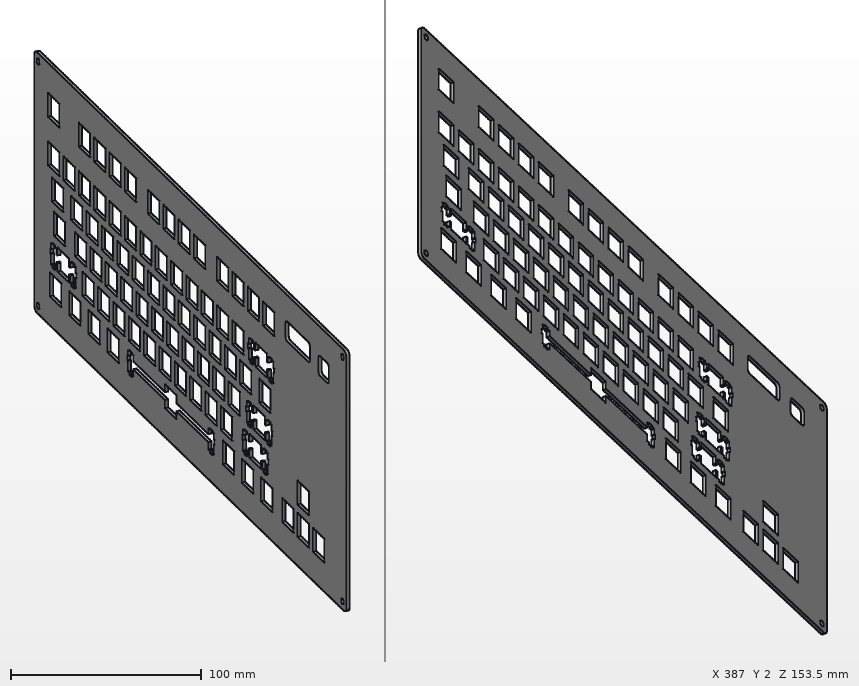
import cadquery as cq


plate_width = 387.0
plate_height = 153.5
plate_thickness = 2.0
corner_radius = 3.0
screw_diameter = 3.4
screw_spacing_x = 377.5
screw_spacing_z = 144.0

main_block_keys = 15
main_block_width = 285.5
key_pitch = main_block_width / main_block_keys
key_gap = 5.0
switch_side = key_pitch - key_gap
first_column_x = -169.5
bottom_row_z = -52.5

wide_key_spacing = 24.0
space_bar_spacing = 100.0
stabilizer_width = 6.5
stabilizer_top = 6.0
stabilizer_bottom = -6.5
tongue_width = 3.3
tongue_top = 6.5
tongue_bottom = -7.7
ear_depth = 0.8
ear_top = 2.3
ear_bottom = -0.5
wire_slot_height = 4.5

window_radius = 2.0
window_height = 11.5
display_width = 30.2
display_x = 133.0
display_z = 55.5
knob_width = 12.8
knob_x = 165.3
knob_z = 54.0


def run(first, count, step=1.0):
    """Column positions of evenly spaced keys."""
    return [first + step * i for i in range(count)]


backspace_column = 13.5
enter_column = 13.375
left_shift_column = 0.625
right_shift_column = 13.125
space_bar_column = 7.625
arrow_column = 15.25

key_rows = {
    5.5: [0] + run(2, 4) + run(6.5, 4) + run(11, 4),
    4: run(0, 13) + [backspace_column],
    3: [0.25] + run(1.5, 12) + [13.75],
    2: [0.375] + run(1.75, 11) + [enter_column],
    1: [left_shift_column] + run(2.25, 10) + [right_shift_column, arrow_column + 1],
    0: run(0.125, 4, 1.25) + [space_bar_column] + run(11.375, 3, 1.25) + run(arrow_column, 3),
}

stabilized_keys = [
    (backspace_column, 4, wide_key_spacing),
    (enter_column, 2, wide_key_spacing),
    (left_shift_column, 1, wide_key_spacing),
    (right_shift_column, 1, wide_key_spacing),
    (space_bar_column, 0, space_bar_spacing),
]


def key_centre(column, row):
    return first_column_x + column * key_pitch, bottom_row_z + row * key_pitch


def block(width, height, x=0.0, z=0.0):
    """Box through the plate thickness, centred on (x, z)."""
    return cq.Workplane("XY").box(width, plate_thickness, height).translate((x, 0, z))


def block_between(x_min, x_max, z_min, z_max):
    return block(x_max - x_min, z_max - z_min, (x_min + x_max) / 2, (z_min + z_max) / 2)


def rounded_block(width, height, radius, x=0.0, z=0.0):
    return block(width, height, x, z).edges("|Y").fillet(radius)


def stabilizer_cutter(column, row, spacing):
    """Two stabilizer openings joined through the switch opening by a wire slot."""
    half_width = stabilizer_width / 2
    cutter = block(spacing, wire_slot_height)
    for side in (-1, 1):
        centre = side * spacing / 2
        outer = centre + side * half_width
        ear_end = outer + side * ear_depth
        body = block_between(centre - half_width, centre + half_width, stabilizer_bottom, stabilizer_top)
        tongue = block_between(
            centre - tongue_width / 2, centre + tongue_width / 2, tongue_bottom, tongue_top
        )
        ear = block_between(min(centre, ear_end), max(centre, ear_end), ear_bottom, ear_top)
        cutter = cutter.union(body).union(tongue).union(ear)
    x, z = key_centre(column, row)
    return cutter.translate((x, 0, z))


result = rounded_block(plate_width, plate_height, corner_radius)
result = (
    result.faces("<Y").workplane(origin=(0, 0, 0))
    .rect(screw_spacing_x, screw_spacing_z, forConstruction=True)
    .vertices().hole(screw_diameter)
)

switch_centres = [key_centre(column, row) for row, columns in key_rows.items() for column in columns]
switch_cutters = (
    cq.Workplane("XZ", origin=(0, plate_thickness / 2, 0))
    .pushPoints(switch_centres).rect(switch_side, switch_side).extrude(plate_thickness)
)
result = result.cut(switch_cutters)

for column, row, spacing in stabilized_keys:
    result = result.cut(stabilizer_cutter(column, row, spacing))

result = result.cut(rounded_block(display_width, window_height, window_radius, display_x, display_z))
result = result.cut(rounded_block(knob_width, window_height, window_radius, knob_x, knob_z))